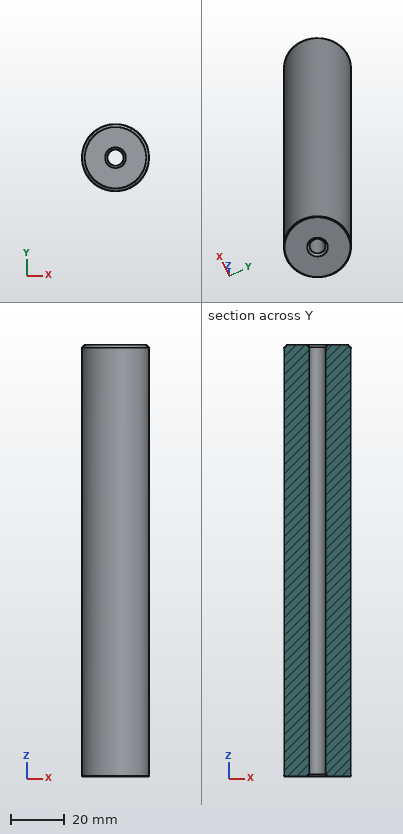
import cadquery as cq

length = 160.0
outer_diameter = 25.0
top_chamfer = 1.1
bottom_chamfer = 0.3
bore_diameter = 6.0
mouth_diameter = 7.7

mouth_chamfer = (mouth_diameter - bore_diameter) / 2

bar = cq.Workplane("XY").circle(outer_diameter / 2).extrude(length)
bar = bar.faces(">Z").edges().chamfer(top_chamfer)
bar = bar.faces("<Z").edges().chamfer(bottom_chamfer)

bore = cq.Workplane("XY").circle(bore_diameter / 2).extrude(length)
bored_bar = bar.cut(bore)
bore_rims = bored_bar.faces("<Z or >Z").edges(cq.selectors.RadiusNthSelector(0))
result = bore_rims.chamfer(mouth_chamfer)